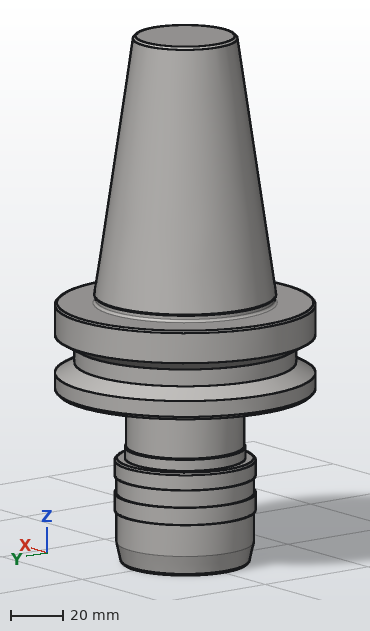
import cadquery as cq

total_height = 206.8

taper_ratio = 7 / 24
gauge_z = 105.0
gauge_radius = 35.0
taper_end_radius = gauge_radius - (total_height - gauge_z) * taper_ratio / 2
taper_end_chamfer = 1.0
relief_radius = 34.3
relief_step = 0.6
relief_fillet = 1.0

flange_radius = 50.0
flange_top_z = 102.0
flange_bottom_z = 67.0
flange_top_chamfer = 0.8
flange_bottom_chamfer = 1.2
groove_radius = 42.5
groove_bottom_z = 78.5
groove_top_z = 85.2
groove_flank_height = 4.1
groove_flank_top_z = groove_top_z + groove_flank_height
groove_flank_bottom_z = groove_bottom_z - groove_flank_height

neck_radius = 22.7
neck_fillet = 5.0
collar_top_z = 45.7
collar_chamfer = 0.5
collar_radius = neck_radius + collar_chamfer

nut_radius = 26.5
band_radius = 27.0
nut_top_z = 41.0
nut_top_chamfer = 0.8
upper_band_bottom_z = 34.1
lower_band_top_z = 27.3
lower_band_bottom_z = 20.5
nose_height = 8.0
nose_radius = 24.8
nose_chamfer = 0.8


def add_nut(profile):
    """Outer edge of the nut, from the bottom centre up to its top face."""
    return (
        profile.lineTo(nose_radius - nose_chamfer, 0)
        .lineTo(nose_radius, nose_chamfer)
        .lineTo(nut_radius, nose_height)
        .lineTo(nut_radius, lower_band_bottom_z)
        .lineTo(band_radius, lower_band_bottom_z)
        .lineTo(band_radius, lower_band_top_z)
        .lineTo(nut_radius, lower_band_top_z)
        .lineTo(nut_radius, upper_band_bottom_z)
        .lineTo(band_radius, upper_band_bottom_z)
        .lineTo(band_radius, nut_top_z - nut_top_chamfer)
        .lineTo(band_radius - nut_top_chamfer, nut_top_z)
    )


def add_neck(profile):
    """Collar and neck, ending in a fillet tangent to the flange underside."""
    return (
        profile.lineTo(collar_radius, nut_top_z)
        .lineTo(collar_radius, collar_top_z - collar_chamfer)
        .lineTo(neck_radius, collar_top_z)
        .lineTo(neck_radius, flange_bottom_z - neck_fillet)
        .radiusArc((neck_radius + neck_fillet, flange_bottom_z), neck_fillet)
    )


def add_flange(profile):
    """Chamfered flange with the gripper groove around its rim."""
    return (
        profile.lineTo(flange_radius - flange_bottom_chamfer, flange_bottom_z)
        .lineTo(flange_radius, flange_bottom_z + flange_bottom_chamfer)
        .lineTo(flange_radius, groove_flank_bottom_z)
        .lineTo(groove_radius, groove_bottom_z)
        .lineTo(groove_radius, groove_top_z)
        .lineTo(flange_radius, groove_flank_top_z)
        .lineTo(flange_radius, flange_top_z - flange_top_chamfer)
        .lineTo(flange_radius - flange_top_chamfer, flange_top_z)
    )


def add_taper(profile):
    """Relief band above the flange, then the steep taper up to its end face."""
    return (
        profile.lineTo(relief_radius + relief_fillet, flange_top_z)
        .radiusArc((relief_radius, flange_top_z + relief_fillet), relief_fillet)
        .lineTo(relief_radius, gauge_z - relief_step)
        .lineTo(gauge_radius, gauge_z)
        .lineTo(taper_end_radius, total_height - taper_end_chamfer)
        .lineTo(taper_end_radius - taper_end_chamfer, total_height)
        .lineTo(0, total_height)
    )


profile = cq.Workplane("XZ").moveTo(0, 0)
for add_section in (add_nut, add_neck, add_flange, add_taper):
    profile = add_section(profile)

result = profile.close().revolve(360, (0, 0, 0), (0, 1, 0))